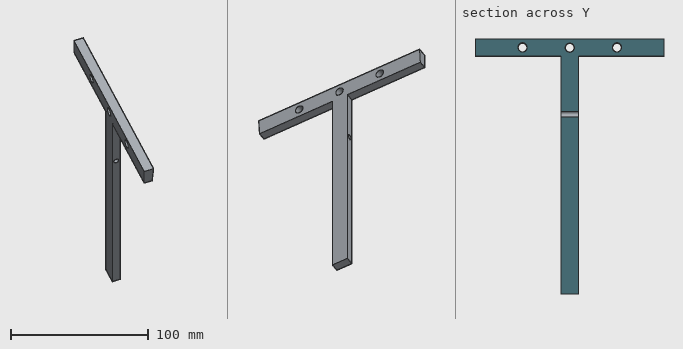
import cadquery as cq
import math

total_height = 185.2
bar_length = 137.0
bar_top_depth = 7.5

bar_height = 12.8
stem_width = 12.8
stem_depth = 6.3
back_angle = math.atan((bar_top_depth - stem_depth) / bar_height)

bar_hole_diameter = 6.3
outer_hole_offset = bar_length / 4
cross_hole_diameter = 3.7
cross_hole_drop = 54.6

bar_bottom = total_height - bar_height
bar_middle = total_height - bar_height / 2
bar_middle_depth = (bar_top_depth + stem_depth) / 2
drill_length = 4 * bar_top_depth


def make_crossbar():
    """Bar along X whose back face leans outward toward the top."""
    section = [
        (0, bar_bottom),
        (stem_depth, bar_bottom),
        (bar_top_depth, total_height),
        (0, total_height),
    ]
    return cq.Workplane("YZ").polyline(section).close().extrude(bar_length / 2, both=True)


def make_stem():
    """Upright running from the foot to the underside of the crossbar."""
    stem = cq.Workplane("XY").rect(stem_width, stem_depth).extrude(bar_bottom)
    return stem.translate((0, stem_depth / 2, 0))


def make_bar_drill(x, tilt):
    """Cylinder through the back face at mid height, dropping by tilt toward +Y."""
    center = cq.Vector(x, bar_middle_depth, bar_middle)
    direction = cq.Vector(0, math.cos(tilt), -math.sin(tilt))
    start = center - direction * (drill_length / 2)
    return cq.Solid.makeCylinder(bar_hole_diameter / 2, drill_length, start, direction)


def make_cross_drill():
    """Cylinder along X through the middle of the stem depth."""
    start = cq.Vector(-stem_width, stem_depth / 2, total_height - cross_hole_drop)
    return cq.Solid.makeCylinder(cross_hole_diameter / 2, 2 * stem_width, start, cq.Vector(1, 0, 0))


result = make_crossbar().union(make_stem())

result = result.cut(make_bar_drill(0, 0))

for side in (-1, 1):
    result = result.cut(make_bar_drill(side * outer_hole_offset, back_angle))

result = result.cut(make_cross_drill())